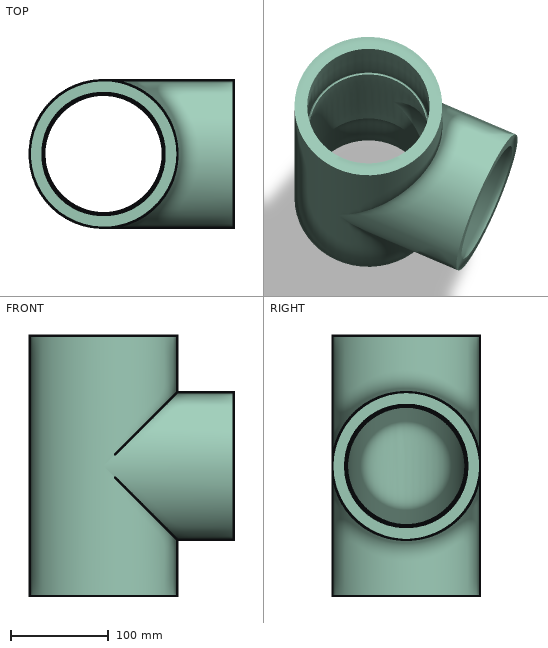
import cadquery as cq

outer_diameter = 151.0
socket_diameter = 125.0
bore_diameter = 121.0
center_to_end = 133.0
socket_depth = 69.0

socket_floor = center_to_end - socket_depth


def cylinder(diameter, start, end, direction):
    """Cylinder on an axis through the origin, between two distances along it."""
    axis = cq.Vector(*direction)
    return cq.Workplane(
        cq.Solid.makeCylinder(diameter / 2, end - start, axis * start, axis)
    )


def arm_body(direction):
    return cylinder(outer_diameter, 0, center_to_end, direction)


def arm_cavity(direction):
    """Through bore from the crossing, widened to a pipe socket at the open end."""
    bore = cylinder(bore_diameter, 0, center_to_end, direction)
    socket = cylinder(socket_diameter, socket_floor, center_to_end, direction)
    return bore.union(socket)


run_up = (0, 0, 1)
run_down = (0, 0, -1)
branch = (1, 0, 0)

run_body = cylinder(outer_diameter, -center_to_end, center_to_end, run_up)
result = run_body.union(arm_body(branch))
for arm in (run_up, run_down, branch):
    result = result.cut(arm_cavity(arm))